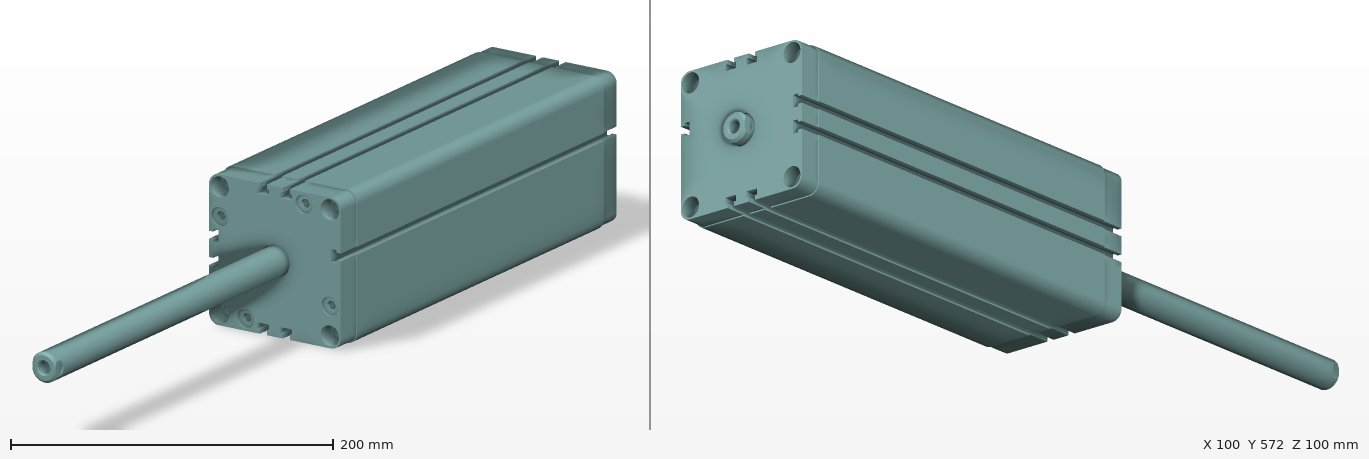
import cadquery as cq
import math

TOTAL_LENGTH = 572.0

BODY_SIZE = 100.0
BODY_RADIUS = 8.0
CAP_SIZE = 98.5
REAR_CAP_LENGTH = 15.5
BARREL_LENGTH = 274.5
FRONT_CAP_LENGTH = 17.0

ROD_DIAMETER = 20.0
ROD_REAR_LENGTH = 7.5
ROD_CHAMFER = 2.0
ROD_FLAT_WIDTH = 17.0
ROD_FLAT_LENGTH = 7.5
ROD_BORE_DIAMETER = 8.5
ROD_BORE_MOUTH = 10.5
ROD_BORE_DEPTH = 20.0
DRILL_POINT_ANGLE = 118
ROD_CLEARANCE_DIAMETER = 22.0
ROD_CLEARANCE_DEPTH = 3.0

SLOT_OFFSET = 8.5
SINGLE_SLOT_OFFSET = 11.5
SLOT_NECK_WIDTH = 5.0
SLOT_WIDTH = 8.5
SLOT_LIP = 4.0
SLOT_DEPTH = 8.0

MOUNT_OFFSET = 41.0
MOUNT_HOLE_DIAMETER = 8.5
MOUNT_COUNTERBORE_DIAMETER = 14.0
MOUNT_COUNTERBORE_DEPTH = 11.5

SCREW_OFFSET = 22.0
SCREW_RECESS_DIAMETER = 12.5
SCREW_RECESS_DEPTH = 2.0
SCREW_SOCKET_SIZE = 7.0
SCREW_SOCKET_DEPTH = 3.0

REAR_END = TOTAL_LENGTH
REAR_FACE = REAR_END - ROD_REAR_LENGTH
BARREL_REAR = REAR_FACE - REAR_CAP_LENGTH
BARREL_FRONT = BARREL_REAR - BARREL_LENGTH
FRONT_FACE = BARREL_FRONT - FRONT_CAP_LENGTH

CAP_RADIUS = BODY_RADIUS - (BODY_SIZE - CAP_SIZE) / 2

CORNERS = [(x, z) for x in (-MOUNT_OFFSET, MOUNT_OFFSET) for z in (-MOUNT_OFFSET, MOUNT_OFFSET)]


def section_at(y):
    """Sketch plane across the axis: X right, Z up, extrudes toward -Y."""
    return cq.Workplane("XZ", origin=(0, y, 0))


def disks(diameter, front, rear, points=((0, 0),)):
    return section_at(rear).pushPoints(points).circle(diameter / 2).extrude(rear - front)


def rounded_bar(size, radius, front, rear):
    """Square bar with rounded long edges."""
    bar = section_at(rear).rect(size, size).extrude(rear - front)
    return bar.edges("|Y").fillet(radius)


def side_slot(offset, turn):
    """T-slot along the whole housing, cut into the top side and turned about the axis."""
    top = BODY_SIZE / 2
    floor = top - SLOT_DEPTH
    length = REAR_FACE - FRONT_FACE
    neck = section_at(REAR_FACE).center(offset, (top + floor) / 2)
    neck = neck.rect(SLOT_NECK_WIDTH, SLOT_DEPTH).extrude(length)
    wide_height = SLOT_DEPTH - SLOT_LIP
    wide = section_at(REAR_FACE).center(offset, floor + wide_height / 2)
    wide = wide.rect(SLOT_WIDTH, wide_height).extrude(length)
    return neck.union(wide).rotate((0, 0, 0), (0, 1, 0), turn)


def housing():
    """Barrel between two slightly smaller caps, with sensor slots along the sides."""
    bars = rounded_bar(BODY_SIZE, BODY_RADIUS, BARREL_FRONT, BARREL_REAR)
    bars = bars.union(rounded_bar(CAP_SIZE, CAP_RADIUS, FRONT_FACE, BARREL_FRONT))
    bars = bars.union(rounded_bar(CAP_SIZE, CAP_RADIUS, BARREL_REAR, REAR_FACE))

    for turn in (0, 180, 270):
        for offset in (-SLOT_OFFSET, SLOT_OFFSET):
            bars = bars.cut(side_slot(offset, turn))
    return bars.cut(side_slot(-SINGLE_SLOT_OFFSET, 90))


def mounting_holes():
    """Corner holes through the housing, counterbored at both ends."""
    depth = MOUNT_COUNTERBORE_DEPTH
    holes = disks(MOUNT_HOLE_DIAMETER, FRONT_FACE, REAR_FACE, CORNERS)
    holes = holes.union(disks(MOUNT_COUNTERBORE_DIAMETER, FRONT_FACE, FRONT_FACE + depth, CORNERS))
    return holes.union(disks(MOUNT_COUNTERBORE_DIAMETER, REAR_FACE - depth, REAR_FACE, CORNERS))


def screw_recesses():
    """Sunk screw heads with hexagonal sockets in the front cap, one per side."""
    head = FRONT_FACE + SCREW_RECESS_DEPTH
    socket_bottom = head + SCREW_SOCKET_DEPTH
    along, out = SCREW_OFFSET, MOUNT_OFFSET
    points = [(along, out), (-out, along), (-along, -out), (out, -along)]
    sockets = section_at(socket_bottom).pushPoints(points)
    sockets = sockets.polygon(6, SCREW_SOCKET_SIZE).extrude(SCREW_SOCKET_DEPTH)
    return disks(SCREW_RECESS_DIAMETER, FRONT_FACE, head, points).union(sockets)


def rod_clearances():
    """Shallow ring recesses where the rod leaves the caps."""
    front = disks(ROD_CLEARANCE_DIAMETER, FRONT_FACE, FRONT_FACE + ROD_CLEARANCE_DEPTH)
    rear = disks(ROD_CLEARANCE_DIAMETER, REAR_FACE - ROD_CLEARANCE_DEPTH, REAR_FACE)
    return front.union(rear)


def revolved(profile):
    """Turn a (radius, y) profile about the rod axis."""
    return cq.Workplane("XY").polyline(profile).close().revolve(360, (0, 0, 0), (0, 1, 0))


def end_bore():
    """Countersunk blind bore with a drill point, entering the rod at Y = 0."""
    radius = ROD_BORE_DIAMETER / 2
    mouth = ROD_BORE_MOUTH / 2
    point_length = radius / math.tan(math.radians(DRILL_POINT_ANGLE / 2))
    return revolved([
        (0, 0),
        (mouth, 0),
        (radius, mouth - radius),
        (radius, ROD_BORE_DEPTH),
        (0, ROD_BORE_DEPTH + point_length),
    ])


def end_flat():
    """Disk that mills a round-ended wrench flat facing +X at the Y = 0 end."""
    plane = cq.Workplane("YZ", origin=(ROD_FLAT_WIDTH / 2, 0, 0))
    return plane.circle(ROD_FLAT_LENGTH).extrude(ROD_DIAMETER)


def rod():
    """Through rod, chamfered, flatted and bored at both ends."""
    radius = ROD_DIAMETER / 2
    tip_radius = radius - ROD_CHAMFER
    bar = revolved([
        (0, 0),
        (tip_radius, 0),
        (radius, ROD_CHAMFER),
        (radius, REAR_END - ROD_CHAMFER),
        (tip_radius, REAR_END),
        (0, REAR_END),
    ])
    end_cut = end_bore().union(end_flat()).union(end_flat().mirror("YZ"))
    opposite_cut = end_cut.mirror("XZ", (0, REAR_END / 2, 0))
    return bar.cut(end_cut).cut(opposite_cut)


body = housing().cut(mounting_holes()).cut(screw_recesses()).cut(rod_clearances())
result = body.union(rod())